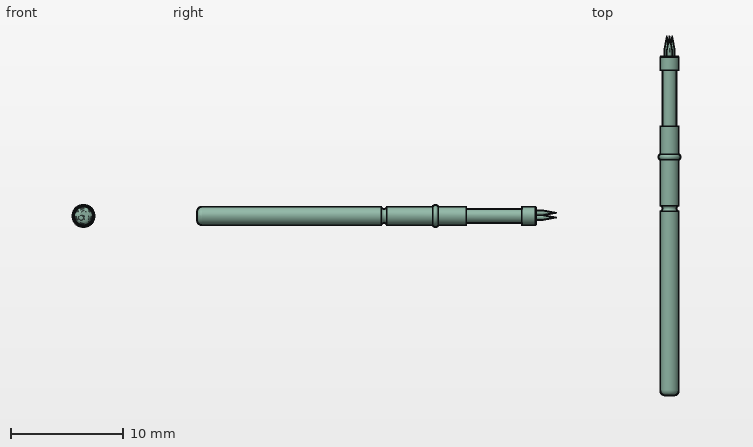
import cadquery as cq
import math

total_length = 32.0
tip_y = total_length / 2
tail_y = -total_length / 2

cone_length = 1.2
collar_front = 1.75
collar_back = 3.05
sleeve_front = 8.0
bead_centre = 10.75
bead_half_width = 0.25
groove_front = 15.07
groove_back = 15.6

collar_radius = 0.83
collar_chamfer = 0.1
plunger_radius = 0.65
sleeve_radius = 0.83
bead_radius = 1.0
groove_floor_radius = 0.65
tail_fillet = 0.45

pin_count = 3
pin_radius = 0.22
pin_circle_radius = 0.28
pin_embed = 0.32
pin_spacing = 2 * math.pi / pin_count
first_pin_angle = math.pi / 2


def from_tip(distance):
    """Y coordinate of a station measured back from the contact tips."""
    return tip_y - distance


def make_body():
    """Collar, plunger and sleeve turned as one outline about the Y axis."""
    groove_middle = (groove_front + groove_back) / 2
    outline = (
        cq.Workplane("XY")
        .moveTo(0, from_tip(collar_front))
        .lineTo(collar_radius - collar_chamfer, from_tip(collar_front))
        .lineTo(collar_radius, from_tip(collar_front + collar_chamfer))
        .lineTo(collar_radius, from_tip(collar_back))
        .lineTo(plunger_radius, from_tip(collar_back))
        .lineTo(plunger_radius, from_tip(sleeve_front))
        .lineTo(sleeve_radius, from_tip(sleeve_front))
        .lineTo(sleeve_radius, from_tip(bead_centre - bead_half_width))
        .threePointArc(
            (bead_radius, from_tip(bead_centre)),
            (sleeve_radius, from_tip(bead_centre + bead_half_width)),
        )
        .lineTo(sleeve_radius, from_tip(groove_front))
        .threePointArc(
            (groove_floor_radius, from_tip(groove_middle)),
            (sleeve_radius, from_tip(groove_back)),
        )
        .lineTo(sleeve_radius, tail_y + tail_fillet)
        .radiusArc((sleeve_radius - tail_fillet, tail_y), tail_fillet)
        .lineTo(0, tail_y)
        .close()
    )
    return outline.revolve(360, (0, 0, 0), (0, 1, 0))


def make_pin(angle):
    """Pointed contact pin, placed at an angle around the Y axis from +X towards +Z."""
    pin = (
        cq.Workplane("XY")
        .moveTo(0, tip_y)
        .lineTo(pin_radius, from_tip(cone_length))
        .lineTo(pin_radius, from_tip(collar_front + pin_embed))
        .lineTo(0, from_tip(collar_front + pin_embed))
        .close()
        .revolve(360, (0, 0, 0), (0, 1, 0))
    )
    return pin.translate(
        (pin_circle_radius * math.cos(angle), 0, pin_circle_radius * math.sin(angle))
    )


result = make_body()
for index in range(pin_count):
    result = result.union(make_pin(first_pin_angle + index * pin_spacing))